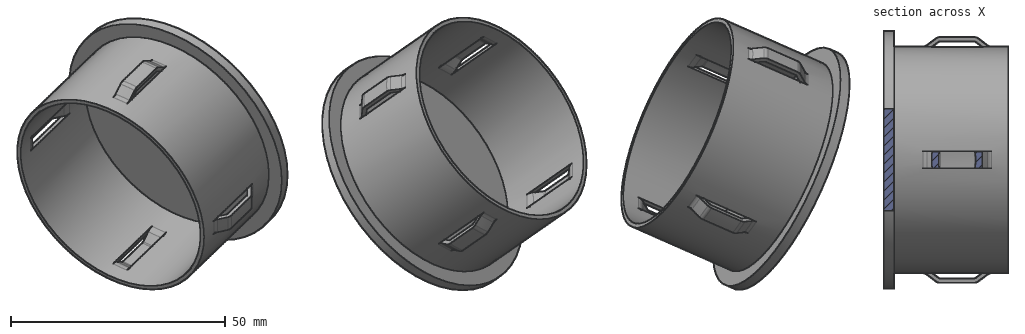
import cadquery as cq
import math

total_length = 29.2
flange_diameter = 60.3
flange_thickness = 2.5
tube_diameter = 53.0
wall = 1.0

clip_count = 4
clip_width = 4.0
clip_center_from_mouth = 12.0
clip_flat_length = 7.95
clip_rise = 2.25
clip_slope = math.radians(37)
bend_radius = 1.6

tube_radius = tube_diameter / 2
tube_length = total_length - flange_thickness
mouth_y = -total_length / 2
flange_y = mouth_y + tube_length
clip_center_y = mouth_y + clip_center_from_mouth

bend_run = bend_radius * math.sin(clip_slope)
bend_rise = bend_radius * (1 - math.cos(clip_slope))
ramp_run = (clip_rise - 2 * bend_rise) / math.tan(clip_slope)
half_flat = clip_flat_length / 2
half_clip = half_flat + 2 * bend_run + ramp_run


def disc_along_y(radius, start_y, length):
    """Solid cylinder on the Y axis, growing from start_y toward +Y."""
    return cq.Workplane("XZ", origin=(0, start_y, 0)).circle(radius).extrude(-length)


def ramp_arcs(depth, side):
    """Foot and crest bends of one ramp, each as start, middle and end point.

    depth is the distance below the outer skin; side is +1 or -1 along Y.
    Bends at every depth share their centres, so the strip keeps its thickness.
    """
    foot_radius = bend_radius + depth
    crest_radius = bend_radius - depth
    foot_center_x = tube_radius + bend_radius
    crest_center_x = tube_radius + clip_rise - bend_radius
    angles = (0, clip_slope / 2, clip_slope)
    foot = []
    crest = []
    for angle in angles:
        foot_x = foot_center_x - foot_radius * math.cos(angle)
        foot_y = half_clip - foot_radius * math.sin(angle)
        foot.append((foot_x, clip_center_y + side * foot_y))
        crest_x = crest_center_x + crest_radius * math.cos(angle)
        crest_y = half_flat + crest_radius * math.sin(angle)
        crest.append((crest_x, clip_center_y + side * crest_y))
    return foot, crest[::-1]


def clip_window(reach):
    """Block as long and wide as a clip, from the tube axis out to reach along +X."""
    block = cq.Workplane("XY").box(reach, 2 * half_clip, clip_width, centered=(False, True, True))
    return block.translate((0, clip_center_y, 0))


def clip_strip():
    """Bent strip on the +X side, curved around the tube axis and trimmed to its width."""
    outer_foot, outer_crest = ramp_arcs(0, 1)
    outer_far_foot, outer_far_crest = ramp_arcs(0, -1)
    inner_foot, inner_crest = ramp_arcs(wall, 1)
    inner_far_foot, inner_far_crest = ramp_arcs(wall, -1)

    outer_skin = [outer_foot, outer_crest, outer_far_crest[::-1], outer_far_foot[::-1]]
    inner_skin = [inner_far_foot, inner_far_crest, inner_crest[::-1], inner_foot[::-1]]

    profile = cq.Workplane("XY").moveTo(*outer_foot[0])
    for start, middle, end in outer_skin + inner_skin:
        if start != outer_foot[0]:
            profile = profile.lineTo(*start)
        profile = profile.threePointArc(middle, end)
    ring = profile.close().revolve(360, (0, 0, 0), (0, 1, 0))
    return ring.intersect(clip_window(flange_diameter / 2))


cap = disc_along_y(flange_diameter / 2, flange_y, flange_thickness)
cap = cap.union(disc_along_y(tube_radius, mouth_y, tube_length))
cap = cap.cut(disc_along_y(tube_radius - wall, mouth_y, tube_length))

slot = clip_window(tube_radius + wall)
strip = clip_strip()
for index in range(clip_count):
    turn = index * 360 / clip_count
    cap = cap.cut(slot.rotate((0, 0, 0), (0, 1, 0), turn))
    cap = cap.union(strip.rotate((0, 0, 0), (0, 1, 0), turn))

result = cap